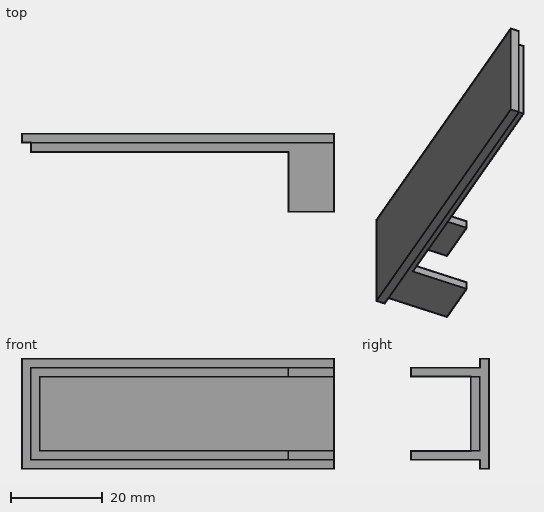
import cadquery as cq

length = 68.0
height = 24.0
plate_thickness = 2.0
total_depth = 17.0

rim_inset = 2.0
rim_wall = 2.0
rim_rise = 2.05

tab_length = 10.0

rim_length = length - rim_inset
rim_height = height - 2 * rim_inset
tab_depth = total_depth - plate_thickness


def block(x_start, z_start, x_size, z_size, depth):
    """Box rising toward -Y from the front face of the plate at Y = 0."""
    return cq.Workplane("XY").box(x_size, depth, z_size, centered=False).translate((x_start, -depth, z_start))


plate = cq.Workplane("XY").box(length, plate_thickness, height, centered=False)

result = plate.union(block(rim_inset, rim_inset, rim_wall, rim_height, rim_rise))

lower_wall = rim_inset
upper_wall = height - rim_inset - rim_wall
for wall_bottom in (lower_wall, upper_wall):
    rim_side = block(rim_inset, wall_bottom, rim_length, rim_wall, rim_rise)
    tab = block(length - tab_length, wall_bottom, tab_length, rim_wall, tab_depth)
    result = result.union(rim_side).union(tab)